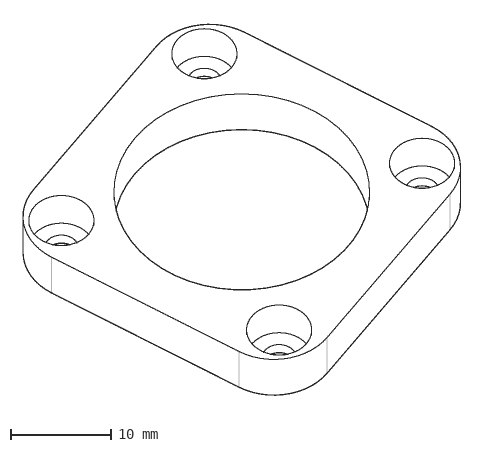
import cadquery as cq

side = 35.05
thickness = 5.56
corner_radius = 6.35

bore_diameter = 25.5

hole_spacing = 25.98
hole_diameter = 3.4
counterbore_diameter = 6.5
screw_seat_thickness = 1.27
counterbore_depth = thickness - screw_seat_thickness


def rounded_plate():
    """Square plate with rounded vertical edges, standing on Z = 0."""
    plate = cq.Workplane("XY").box(side, side, thickness, centered=(True, True, False))
    return plate.edges("|Z").fillet(corner_radius)


def cut_bore(body):
    """Cut the central through bore."""
    return body.faces(">Z").workplane(origin=(0, 0, thickness)).hole(bore_diameter)


def cut_screw_holes(body):
    """Cut the four screw holes, counterbored from the top face."""
    return (
        body.faces(">Z")
        .workplane(origin=(0, 0, thickness))
        .rarray(hole_spacing, hole_spacing, 2, 2)
        .cboreHole(hole_diameter, counterbore_diameter, counterbore_depth)
    )


result = cut_screw_holes(cut_bore(rounded_plate()))